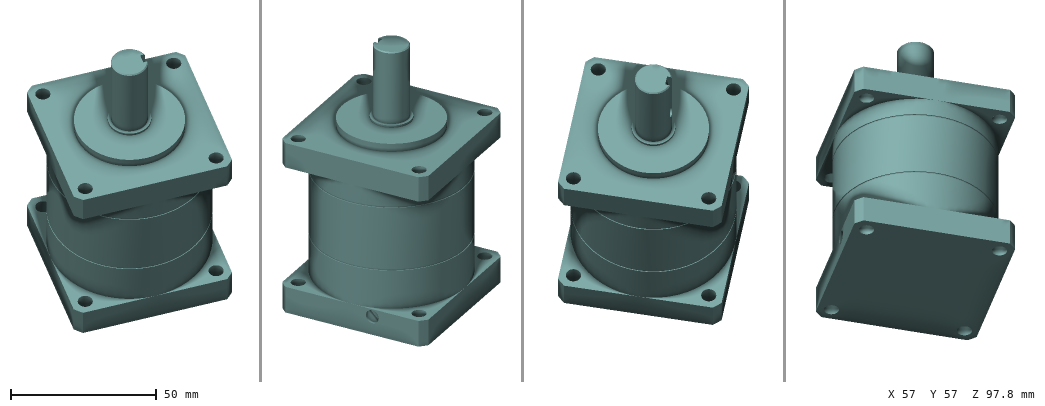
import cadquery as cq

plate_side = 57.0
corner_circle_diameter = 77.1
hole_spacing = 47.1
hole_diameter = 5.2
base_plate_thickness = 10.0
flange_thickness = 9.5

barrel_diameter = plate_side
flange_bottom = 56.4
groove_heights = (25.0, 49.5)
groove_width = 0.6
groove_depth = 0.3

flange_top = flange_bottom + flange_thickness
pilot_diameter = 38.1
pilot_height = 3.1
pilot_top = flange_top + pilot_height

total_height = 97.8
shaft_diameter = 12.7
shaft_chamfer = 0.4
shoulder_diameter = 15.0
shoulder_height = 0.9
shoulder_top = pilot_top + shoulder_height
keyway_width = 3.4
keyway_depth = 2
keyway_length = 19.6

plug_y = -8.0
plug_z = 7.0
plug_diameter = 5.0
plug_recess = 1
plug_length = 4.9
slot_width = 1
slot_depth = 0.8
slot_angle = 45


def disc(diameter, bottom, top):
    """Upright cylinder centred on the Z axis."""
    return cq.Workplane("XY", origin=(0, 0, bottom)).circle(diameter / 2).extrude(top - bottom)


def end_plate(bottom, thickness):
    """Square plate with corners turned down to a circle and four through holes."""
    square = cq.Workplane("XY", origin=(0, 0, bottom)).rect(plate_side, plate_side).extrude(thickness)
    return (
        square.intersect(disc(corner_circle_diameter, bottom, bottom + thickness))
        .faces(">Z")
        .workplane(origin=(0, 0, 0))
        .rect(hole_spacing, hole_spacing, forConstruction=True)
        .vertices()
        .hole(hole_diameter)
    )


def groove(height):
    """Ring that cuts a shallow groove around the barrel."""
    return (
        cq.Workplane("XY", origin=(0, 0, height - groove_width / 2))
        .circle(barrel_diameter / 2)
        .circle(barrel_diameter / 2 - groove_depth)
        .extrude(groove_width)
    )


def plug_cylinder(start, length):
    """Cylinder on the plug axis, running in +X from a depth below the plate side."""
    return (
        cq.Workplane("YZ", origin=(start - plate_side / 2, plug_y, plug_z))
        .circle(plug_diameter / 2)
        .extrude(length)
    )


def output_shaft():
    """Keyed shaft and its shoulder, standing on the pilot boss."""
    shaft = disc(shaft_diameter, shoulder_top, total_height).faces(">Z").chamfer(shaft_chamfer)
    shoulder = disc(shoulder_diameter, pilot_top, shoulder_top)
    keyway_floor = shaft_diameter / 2 - keyway_depth
    round_centre = total_height - keyway_length + keyway_width / 2
    keyway = (
        cq.Workplane("XZ", origin=(0, keyway_floor, 0))
        .moveTo(-keyway_width / 2, total_height)
        .lineTo(-keyway_width / 2, round_centre)
        .threePointArc((0, total_height - keyway_length), (keyway_width / 2, round_centre))
        .lineTo(keyway_width / 2, total_height)
        .close()
        .extrude(-keyway_depth)
    )
    return shaft.union(shoulder).cut(keyway)


def make_gearbox():
    """Gearbox with its output shaft as one solid, with a hole for the plug."""
    gearbox = end_plate(0, base_plate_thickness)
    gearbox = gearbox.union(disc(barrel_diameter, base_plate_thickness, flange_bottom))
    gearbox = gearbox.union(end_plate(flange_bottom, flange_thickness))
    gearbox = gearbox.union(disc(pilot_diameter, flange_top, pilot_top))
    for height in groove_heights:
        gearbox = gearbox.cut(groove(height))
    return gearbox.union(output_shaft()).cut(plug_cylinder(0, plug_recess + plug_length))


def make_plug():
    """Round plug, sunk below the plate side, with a diagonal slot across its outer end."""
    slot = (
        cq.Workplane("YZ", origin=(plug_recess - plate_side / 2, plug_y, plug_z))
        .transformed(rotate=(0, 0, slot_angle))
        .rect(plug_diameter, slot_width)
        .extrude(slot_depth)
    )
    return plug_cylinder(plug_recess, plug_length).cut(slot)


gearbox = make_gearbox()
plug = make_plug()
result = cq.Compound.makeCompound([gearbox.val(), plug.val()])